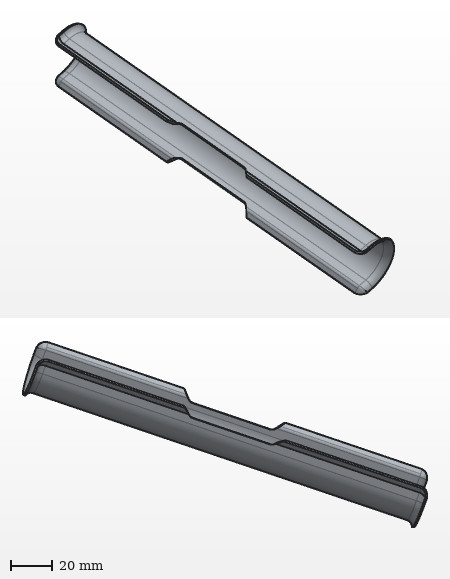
import cadquery as cq
import math

LENGTH = 200.0
WIDTH = 24.5
HEIGHT = 33.5
HALF_HEIGHT = HEIGHT / 2
INNER_RADIUS = 13.0
WALL = 1.0
OUTER_RADIUS = INNER_RADIUS + WALL

FLARE_RADIUS = 16.5
FLARE_ANGLE = math.radians(70)
FLARE_OUTER_ARC = (FLARE_RADIUS - OUTER_RADIUS) / (1 - math.cos(FLARE_ANGLE))
FLARE_INNER_ARC = FLARE_OUTER_ARC + WALL
FLARE_START = LENGTH / 2 - FLARE_INNER_ARC * math.sin(FLARE_ANGLE)

LIP_ANGLE = math.radians(48)
LIP_DEPTH = WIDTH - FLARE_RADIUS
LIP_RIM_DEPTH = 0.7
BEND_OUTER_DEPTH = 4.2
BEND_INNER_DEPTH = 4.5
BEND_RADIUS = 2.0
BEND_END_DEPTH = BEND_INNER_DEPTH + BEND_RADIUS * math.sin(LIP_ANGLE)
BEND_END_Z = INNER_RADIUS + BEND_RADIUS * (1 - math.cos(LIP_ANGLE))
LIP_INNER_RIM = (-LIP_DEPTH, BEND_END_Z + (LIP_DEPTH - BEND_END_DEPTH) * math.tan(LIP_ANGLE))
LIP_OUTER_RIM = (LIP_RIM_DEPTH - LIP_DEPTH, HALF_HEIGHT)

CORNER_SKEW = 0.2

NOTCH_FLOOR_DEPTH = 3.0
NOTCH_HALF_FLOOR = 21.0
NOTCH_FILLET = 3.0
NOTCH_MARGIN = 4.0


def flare_point(arc_radius, angle):
    """Point (X, distance from the pipe axis) on a flare arc that has turned by the given angle."""
    return (
        -FLARE_START - arc_radius * math.sin(angle),
        OUTER_RADIUS + FLARE_OUTER_ARC - arc_radius * math.cos(angle),
    )


def wall_profile():
    """Lengthwise section of the wall from mid-length to the flared end at -X."""
    return (
        cq.Workplane("XZ")
        .moveTo(0, INNER_RADIUS)
        .lineTo(-FLARE_START, INNER_RADIUS)
        .threePointArc(
            flare_point(FLARE_INNER_ARC, FLARE_ANGLE / 2),
            flare_point(FLARE_INNER_ARC, FLARE_ANGLE),
        )
        .lineTo(*flare_point(FLARE_OUTER_ARC, FLARE_ANGLE))
        .threePointArc(flare_point(FLARE_OUTER_ARC, FLARE_ANGLE / 2), (-FLARE_START, OUTER_RADIUS))
        .lineTo(0, OUTER_RADIUS)
        .close()
    )


def round_back():
    """Quarter turn of the wall around the pipe axis."""
    return wall_profile().revolve(90, (0, 0, 0), (-1, 0, 0))


def mitre_y(z):
    """Y of the slanted plane where the straight wall meets the lip and the corner."""
    return -BEND_OUTER_DEPTH - (OUTER_RADIUS - z) * (BEND_INNER_DEPTH - BEND_OUTER_DEPTH) / WALL


def straight_wall():
    """Flat wall from the round back forward to the mitre plane."""
    behind_mitre = (
        cq.Workplane("YZ")
        .polyline([(0, 0), (mitre_y(0), 0), (mitre_y(HALF_HEIGHT), HALF_HEIGHT), (0, HALF_HEIGHT)])
        .close()
        .extrude(-LENGTH)
    )
    return wall_profile().extrude(LIP_DEPTH).intersect(behind_mitre)


def lip():
    """Bent lip from mid-length to the start of the end flare."""
    bend_middle = (
        -BEND_INNER_DEPTH - BEND_RADIUS * math.sin(LIP_ANGLE / 2),
        INNER_RADIUS + BEND_RADIUS * (1 - math.cos(LIP_ANGLE / 2)),
    )
    return (
        cq.Workplane("YZ")
        .moveTo(-BEND_OUTER_DEPTH, OUTER_RADIUS)
        .lineTo(-BEND_INNER_DEPTH, INNER_RADIUS)
        .threePointArc(bend_middle, (-BEND_END_DEPTH, BEND_END_Z))
        .lineTo(*LIP_INNER_RIM)
        .lineTo(*LIP_OUTER_RIM)
        .close()
        .extrude(-FLARE_START)
    )


def edges_by_height(face):
    """Edges of a face, lowest first."""
    return sorted(face.Edges(), key=lambda edge: edge.Center().z)


def corner_rim(flare_arc, lip_rim):
    """Rounded rim edge from the flared end, along one of its arcs, to the front of the lip."""
    x, z = flare_point(flare_arc, FLARE_ANGLE)
    return cq.Edge.makeSpline(
        [cq.Vector(x, mitre_y(z), z), cq.Vector(-FLARE_START, *lip_rim)],
        tangents=[cq.Vector(CORNER_SKEW, -1, 0), cq.Vector(1, -CORNER_SKEW, 0)],
    )


def corner():
    """Smooth transition between the end flare of the straight wall and the end of the lip."""
    flare_plane = cq.Workplane("YZ", (-FLARE_START, 0, 0))
    flare = straight_wall().copyWorkplane(flare_plane).split(keepBottom=True)
    flare_section = flare.faces("<Y").val()
    lip_section = lip().faces("<X").val()
    _, flare_inner, flare_outer, flare_rim = edges_by_height(flare_section)
    lip_bend, _, lip_inner, lip_outer, lip_rim = edges_by_height(lip_section)
    inner_rim = corner_rim(FLARE_INNER_ARC, LIP_INNER_RIM)
    outer_rim = corner_rim(FLARE_OUTER_ARC, LIP_OUTER_RIM)
    boundaries = [
        [flare_inner, inner_rim, lip_inner, lip_bend],
        [flare_outer, outer_rim, lip_outer],
        [flare_rim, inner_rim, lip_rim, outer_rim],
    ]
    sides = [cq.Face.makeNSidedSurface(boundary, []) for boundary in boundaries]
    shell = cq.Shell.makeShell([flare_section, lip_section] + sides)
    return cq.Workplane(cq.Solid.makeSolid(shell))


def notch_cutter():
    """Trapezoid through both lips, rounded where its sides meet the floor."""
    front_depth = LIP_DEPTH + NOTCH_MARGIN
    half_front = NOTCH_HALF_FLOOR + front_depth - NOTCH_FLOOR_DEPTH
    return (
        cq.Workplane("XY")
        .polyline([
            (-NOTCH_HALF_FLOOR, -NOTCH_FLOOR_DEPTH),
            (NOTCH_HALF_FLOOR, -NOTCH_FLOOR_DEPTH),
            (half_front, -front_depth),
            (-half_front, -front_depth),
        ])
        .close()
        .extrude(HALF_HEIGHT, both=True)
        .edges("|Z and >Y")
        .fillet(NOTCH_FILLET)
    )


quarter = round_back().union(straight_wall()).union(lip()).union(corner())
half = quarter.union(quarter.mirror("YZ"))
body = half.union(half.mirror("XY")).cut(notch_cutter())
result = cq.Workplane(body.solids().val())